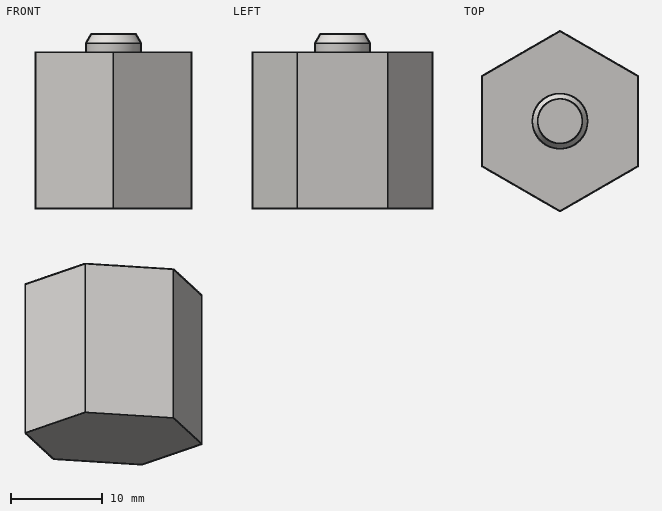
import cadquery as cq
import math

across_corners = 19.63
across_flats = across_corners * math.cos(math.radians(30))
body_height = across_flats

pin_diameter = 6.0
pin_height = 2.0
taper_height = pin_height / 2
taper_angle = 30.0
taper_inset = taper_height * math.tan(math.radians(taper_angle))


def make_body():
    hexagon = cq.Workplane("XY").transformed(rotate=(0, 0, 90)).polygon(6, across_corners)
    return hexagon.extrude(body_height)


def make_pin():
    """Revolve half of the pin's section around the Z axis."""
    radius = pin_diameter / 2
    top = body_height + pin_height
    half_section = (
        cq.Workplane("XZ")
        .moveTo(0, body_height)
        .lineTo(radius, body_height)
        .lineTo(radius, top - taper_height)
        .lineTo(radius - taper_inset, top)
        .lineTo(0, top)
        .close()
    )
    return half_section.revolve(360, (0, 0, 0), (0, 1, 0))


result = make_body().union(make_pin())